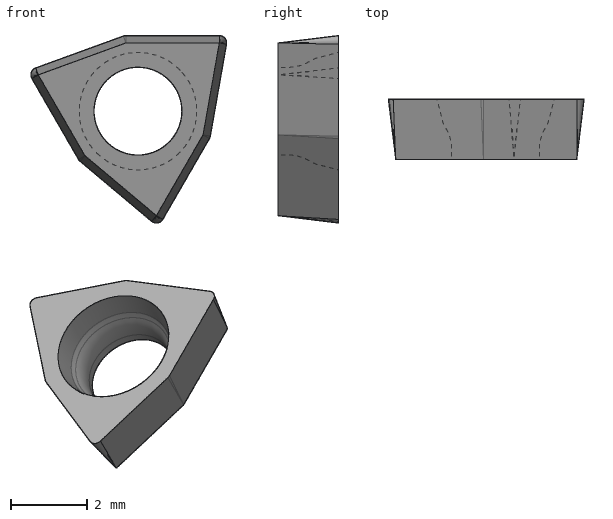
import cadquery as cq
import math

thickness = 1.59
clearance_angle = 7.0
inscribed_radius = 1.985
corner_angle = 80.0
first_corner_angle = 40.0

bore_radius = 1.149
bore_depth = 0.255
seat_radius = 1.315
seat_depth = 0.85
blend_radius = 1.39
blend_depth = 0.99
mouth_radius = 1.54

flare = thickness * math.tan(math.radians(clearance_angle))
small_face_apothem = inscribed_radius - flare


def polar(radius, angle):
    return (radius * math.cos(math.radians(angle)), radius * math.sin(math.radians(angle)))


def trigon_points():
    """Alternating sharp corners and blunt corners of the small face."""
    sharp_half_turn = 90 - corner_angle / 2
    blunt_half_turn = 60 - sharp_half_turn
    sharp_radius = small_face_apothem / math.cos(math.radians(sharp_half_turn))
    blunt_radius = small_face_apothem / math.cos(math.radians(blunt_half_turn))
    points = []
    for third in range(3):
        angle = first_corner_angle + 120 * third
        points.append(polar(sharp_radius, angle))
        points.append(polar(blunt_radius, angle + 60))
    return points


def make_body():
    """Sides flare outward towards +Y, rounding each corner into a cone."""
    return (
        cq.Workplane("XZ")
        .polyline(trigon_points())
        .close()
        .extrude(-thickness, taper=-clearance_angle)
    )


def make_hole():
    """Straight bore opening through a curved screw seat and a blend into a conical mouth."""
    seat_width = seat_radius - bore_radius
    seat_length = seat_depth - bore_depth
    arc_radius = (seat_width**2 + seat_length**2) / (2 * seat_width)
    half_sweep = math.asin(seat_length / arc_radius) / 2
    seat_middle = (
        bore_radius + arc_radius * (1 - math.cos(half_sweep)),
        bore_depth + arc_radius * math.sin(half_sweep),
    )
    return (
        cq.Workplane("XY")
        .moveTo(0, 0)
        .lineTo(bore_radius, 0)
        .lineTo(bore_radius, bore_depth)
        .threePointArc(seat_middle, (seat_radius, seat_depth))
        .tangentArcPoint((blend_radius, blend_depth), relative=False)
        .lineTo(mouth_radius, thickness)
        .lineTo(0, thickness)
        .close()
        .revolve(360, (0, 0, 0), (0, 1, 0))
    )


result = make_body().cut(make_hole())